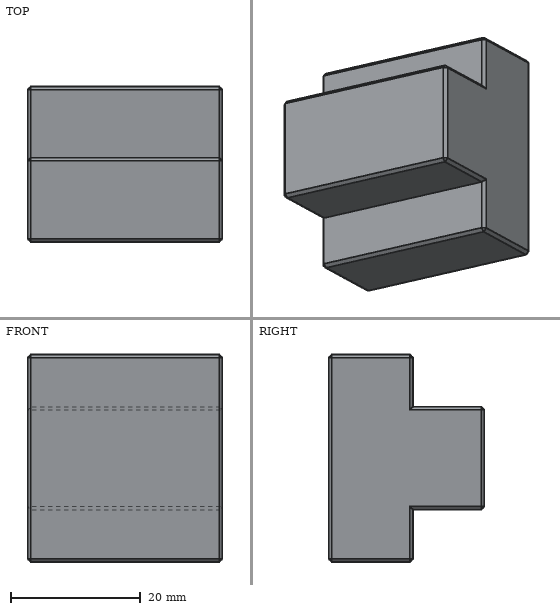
import cadquery as cq

width = 30.0
depth = 24.0
height = 32.0
plate_depth = 13.02
stem_height = 15.9
chamfer = 0.5

stem_depth = depth - plate_depth


def centred_block(block_depth, block_height, start_y):
    """Block centred in X and Z that begins at start_y."""
    block = cq.Workplane("XY").box(width, block_depth, block_height, centered=(True, False, True))
    return block.translate((0, start_y, 0))


plate = centred_block(plate_depth, height, 0)
stem = centred_block(stem_depth, stem_height, plate_depth)
body = plate.union(stem)

inner_corners = cq.selectors.BoxSelector(
    (-width, plate_depth - chamfer, -stem_height / 2 - chamfer),
    (width, plate_depth + chamfer, stem_height / 2 + chamfer),
)
inner_edges = cq.selectors.StringSyntaxSelector("|X") & inner_corners
outer_edges = cq.selectors.StringSyntaxSelector("|X or |Y or |Z") - inner_edges

result = body.edges(outer_edges).chamfer(chamfer)